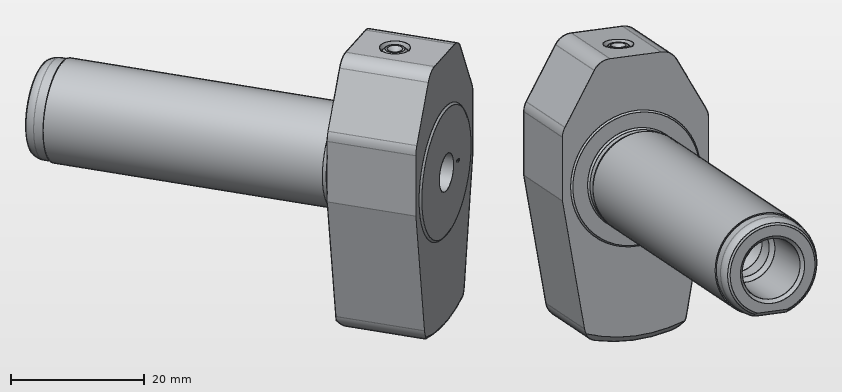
import cadquery as cq
import math

total_length = 65.0
head_start = 50.25
head_end = 64.5
head_width = 24.0
head_top = 19.3
head_bottom = -25.7

shaft_radius = 16.0 / 2
relief_radius = 15.6 / 2
tip_radius = 6.95
tip_bevel_radius = 7.3
tip_bevel_length = 0.2
tip_round_end = 1.6
tip_round_bulge = 0.1
tip_relief_end = 3.2
neck_start = 48.0
neck_taper_end = 48.5
neck_end = 49.5
flat_height = -7.15
flat_length = 45.4
flat_runout = 1.0
flat_edge_chamfer = 0.65

collar_radius = 21.3 / 2
collar_start = 50.0
disc_end = 64.8
bevel_angle = 45.0

bore_radius = 6.0 / 2
seat_radius = 8.2 / 2
socket_radius = 9.5 / 2
mouth_radius = 10.5 / 2
mouth_chamfer = mouth_radius - socket_radius
socket_depth = 9.75
seat_depth = 13.0

top_half_width = 5.9
shoulder_angle = 30.0
side_bottom = -2.0
side_taper = 10.0
corner_radius = 3.0
base_radius = 26.0
base_chamfer_front = 1.0
base_chamfer_back = 0.6

screw_x = 56.55
screw_hole_radius = 4.6 / 2
screw_radius = 4.0 / 2
screw_rim_radius = 3.0 / 2
screw_cup_radius = 2.35 / 2
screw_sink = 0.2

mark_y = 4.7
mark_width = 0.8
mark_height = 0.25


def revolve_about_shaft(profile):
    """Turn an XY profile of (axial, radial) points around the X axis."""
    return profile.close().revolve(360, (0, 0, 0), (1, 0, 0))


def make_shaft():
    mid_radius = (tip_bevel_radius + relief_radius) / 2 + tip_round_bulge
    mid_x = (tip_bevel_length + tip_round_end) / 2
    body = revolve_about_shaft(
        cq.Workplane("XY")
        .lineTo(0, tip_radius)
        .lineTo(tip_bevel_length, tip_bevel_radius)
        .threePointArc((mid_x, mid_radius), (tip_round_end, relief_radius))
        .lineTo(tip_relief_end, relief_radius)
        .lineTo(tip_relief_end, shaft_radius)
        .lineTo(neck_start, shaft_radius)
        .lineTo(neck_taper_end, relief_radius)
        .lineTo(neck_end, relief_radius)
        .lineTo(collar_start, shaft_radius)
        .lineTo(head_start, shaft_radius)
        .lineTo(head_start, 0)
    )
    flat_cutter = (
        cq.Workplane("XZ")
        .moveTo(0, -shaft_radius)
        .lineTo(0, flat_height + flat_edge_chamfer)
        .lineTo(flat_edge_chamfer, flat_height)
        .lineTo(flat_length, flat_height)
        .lineTo(flat_length + flat_runout, -shaft_radius)
        .close()
        .extrude(shaft_radius, both=True)
    )
    return body.cut(flat_cutter)


def make_head():
    half_width = head_width / 2
    shoulder_run = half_width - top_half_width
    shoulder_z = head_top - shoulder_run / math.tan(math.radians(shoulder_angle))
    base_center_z = head_bottom + base_radius

    taper = math.tan(math.radians(side_taper))
    a = 1 + taper**2
    b = (side_bottom - base_center_z) + taper * half_width
    c = half_width**2 + (side_bottom - base_center_z) ** 2 - base_radius**2
    drop = (b + math.sqrt(b**2 - a * c)) / a
    base_y = half_width - drop * taper
    base_z = side_bottom - drop

    head = (
        cq.Workplane("YZ", origin=(head_start, 0, 0))
        .moveTo(top_half_width, head_top)
        .lineTo(half_width, shoulder_z)
        .lineTo(half_width, side_bottom)
        .lineTo(base_y, base_z)
        .threePointArc((0, head_bottom), (-base_y, base_z))
        .lineTo(-half_width, side_bottom)
        .lineTo(-half_width, shoulder_z)
        .lineTo(-top_half_width, head_top)
        .close()
        .extrude(head_end - head_start)
    )
    margin = 0.65
    for z_level in (head_top, shoulder_z, base_z):
        corners = cq.selectors.BoxSelector(
            (head_start, -half_width - margin, z_level - margin),
            (head_end, half_width + margin, z_level + margin),
        )
        head = head.edges("|X").edges(corners).fillet(corner_radius)

    envelope = (
        cq.Workplane("YZ", origin=(head_start, 0, base_center_z))
        .circle(base_radius)
        .extrude(head_end - head_start)
        .faces("<X").chamfer(base_chamfer_front)
        .faces(">X").chamfer(base_chamfer_back)
    )
    return head.intersect(envelope)


def make_round_faces():
    collar = cq.Workplane("YZ", origin=(head_start, 0, 0)).circle(collar_radius)
    collar = collar.extrude(collar_start - head_start, taper=bevel_angle)
    disc = cq.Workplane("YZ", origin=(head_end, 0, 0)).circle(collar_radius)
    disc = disc.extrude(disc_end - head_end, taper=bevel_angle)
    mark = cq.Workplane("YZ", origin=(head_end, mark_y, 0)).rect(mark_width, mark_height)
    mark = mark.extrude(total_length - head_end)
    return collar.union(disc).union(mark)


def make_bore():
    return revolve_about_shaft(
        cq.Workplane("XY")
        .lineTo(0, mouth_radius)
        .lineTo(mouth_chamfer, socket_radius)
        .lineTo(socket_depth, socket_radius)
        .lineTo(socket_depth + socket_radius - seat_radius, seat_radius)
        .lineTo(seat_depth, seat_radius)
        .lineTo(seat_depth + seat_radius - bore_radius, bore_radius)
        .lineTo(total_length, bore_radius)
        .lineTo(total_length, 0)
    )


def make_screw_recess():
    """Space above the sunken set screw: bevelled rim outside, conical cup inside."""
    rim_z = -screw_sink
    shoulder_z = rim_z - (screw_radius - screw_rim_radius)
    cup_bottom_z = rim_z - screw_cup_radius
    return (
        cq.Workplane("XZ", origin=(screw_x, 0, head_top))
        .lineTo(screw_hole_radius, 0)
        .lineTo(screw_radius, shoulder_z)
        .lineTo(screw_rim_radius, rim_z)
        .lineTo(screw_cup_radius, rim_z)
        .lineTo(0, cup_bottom_z)
        .close()
        .revolve(360, (0, 0, 0), (0, 1, 0))
    )


result = make_shaft().union(make_head()).union(make_round_faces())
result = result.cut(make_bore()).cut(make_screw_recess())